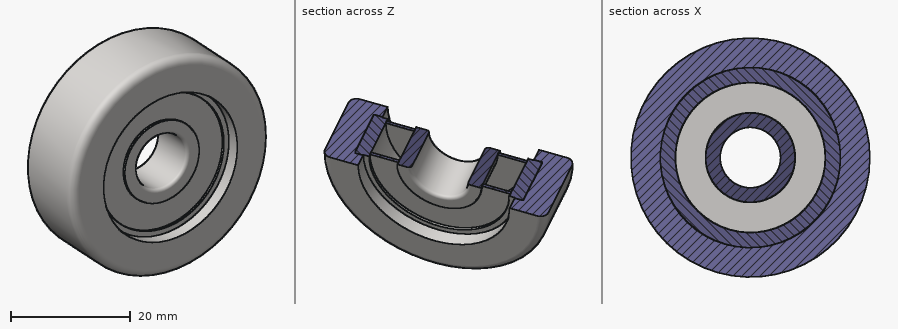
import cadquery as cq

tyre_diameter = 40.0
tyre_width = 14.0
tyre_edge_radius = 1.5
tyre_lip_diameter = 27.0

bearing_width = 9.0
bearing_diameter = 30.0
bearing_bore_diameter = 10.0
bore_edge_radius = 0.6
race_wall = (bearing_diameter - bearing_bore_diameter) / 8

shield_recess = 0.5
shield_thickness = 0.6
shield_outer_diameter = bearing_diameter - 2 * race_wall
shield_inner_diameter = bearing_bore_diameter + 2 * race_wall


def disc(diameter, width, centre_x=0.0):
    """Solid disc on the X axis, centred at centre_x."""
    return (
        cq.Workplane("YZ", origin=(centre_x - width / 2, 0, 0))
        .circle(diameter / 2)
        .extrude(width)
    )


def ring(outer_diameter, inner_diameter, width, centre_x=0.0):
    """Flat ring on the X axis, centred at centre_x."""
    return disc(outer_diameter, width, centre_x).cut(disc(inner_diameter, width, centre_x))


def make_tyre():
    """Rounded tyre with a bearing seat between two retaining lips."""
    body = disc(tyre_diameter, tyre_width).edges().fillet(tyre_edge_radius)
    body = body.cut(disc(tyre_lip_diameter, tyre_width))
    return body.cut(disc(bearing_diameter, bearing_width))


def make_outer_ring():
    return ring(bearing_diameter, shield_outer_diameter, bearing_width)


def make_inner_ring():
    """Inner bearing ring with rounded bore edges."""
    body = ring(shield_inner_diameter, bearing_bore_diameter, bearing_width)
    bore_edges = body.edges(cq.selectors.RadiusNthSelector(0))
    return bore_edges.fillet(bore_edge_radius)


def make_shield(side):
    """Shield set back from the bearing face; side is -1 or +1 along X."""
    centre_x = side * (bearing_width / 2 - shield_recess - shield_thickness / 2)
    return ring(shield_outer_diameter, shield_inner_diameter, shield_thickness, centre_x)


tyre = make_tyre()
outer_ring = make_outer_ring()
inner_ring = make_inner_ring()
shields = [make_shield(side) for side in (-1, 1)]

result = cq.Compound.makeCompound(
    [tyre.val(), outer_ring.val(), inner_ring.val(), *[shield.val() for shield in shields]]
)